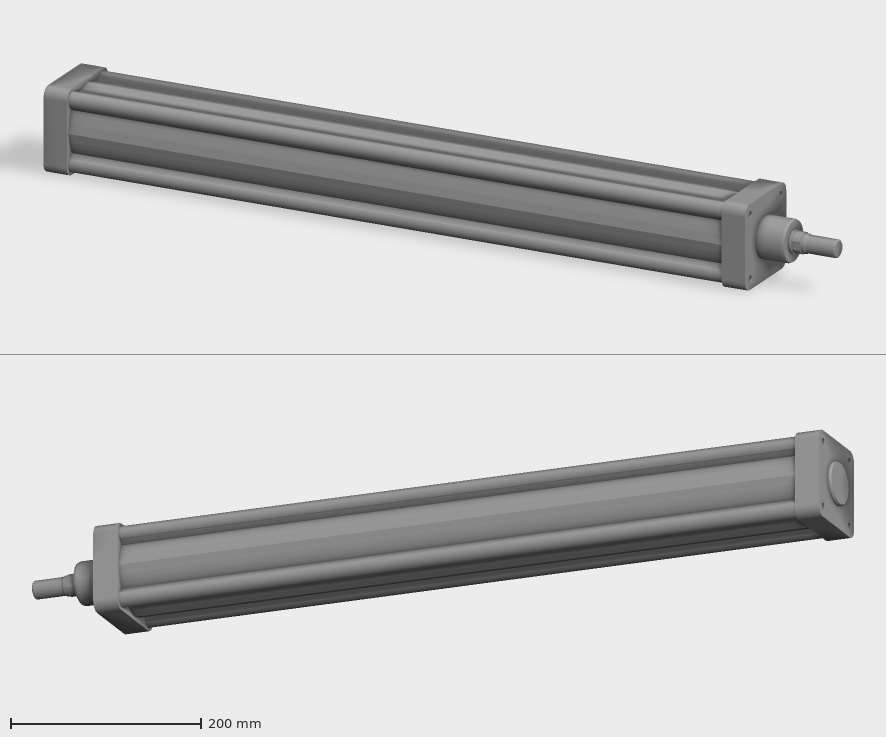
import cadquery as cq
import math

spigot_height = 4.0
cap_length = 27.5
barrel_length = 771.0
collar_height = 33.0
lip_height = 3.0
rod_reach = 46.0
end_length = 40.0

rear_cap_x = spigot_height
barrel_x = rear_cap_x + cap_length
front_cap_x = barrel_x + barrel_length
front_face_x = front_cap_x + cap_length
lip_end_x = front_face_x + collar_height + lip_height
shoulder_x = front_face_x + rod_reach
tip_x = shoulder_x + end_length

cap_width = 96.0
cap_corner_radius = 11.0
boss_diameter = 47.5
boss_chamfer_depth = 2.5
boss_chamfer_inset = 1.0
lip_diameter = 26.0
screw_spacing = 71.5
screw_hole_diameter = 7.5
screw_hole_depth = 16.0

tube_radius = 43.0
ridge_angle = 13.0
lobe_radius = 9.0
lobe_wrap_angle = 42.0
flank_knee = (41.0, 28.8)
foot_angle = 34.0

rod_diameter = 24.0
step_diameter = 22.0
step_length = 6.0
step_chamfer_length = 2.0
thread_diameter = 20.0
thread_chamfer = 1.2
flat_width = 22.0


def polar(radius, angle, center=(0.0, 0.0)):
    """Point at an angle in degrees from +Y towards +Z."""
    turn = math.radians(angle)
    return (center[0] + radius * math.cos(turn), center[1] + radius * math.sin(turn))


def rotate(point, angle):
    """Turn a profile point about the barrel axis."""
    turn = math.radians(angle)
    y, z = point
    return (y * math.cos(turn) - z * math.sin(turn), y * math.sin(turn) + z * math.cos(turn))


def make_barrel():
    lobe_center = (screw_spacing / 2, screw_spacing / 2)
    ridge = (tube_radius / math.cos(math.radians(ridge_angle)), 0.0)
    profile = cq.Workplane("YZ", origin=(barrel_x, 0, 0)).moveTo(*ridge)
    for quarter in (0, 90, 180, 270):
        profile = (
            profile
            .lineTo(*rotate(polar(tube_radius, ridge_angle), quarter))
            .threePointArc(
                rotate(polar(tube_radius, (ridge_angle + foot_angle) / 2), quarter),
                rotate(polar(tube_radius, foot_angle), quarter),
            )
            .lineTo(*rotate(flank_knee, quarter))
            .lineTo(*rotate(polar(lobe_radius, -lobe_wrap_angle, lobe_center), quarter))
            .threePointArc(
                rotate(polar(lobe_radius, 45, lobe_center), quarter),
                rotate(polar(lobe_radius, 90 + lobe_wrap_angle, lobe_center), quarter),
            )
            .lineTo(*rotate(flank_knee[::-1], quarter))
            .lineTo(*rotate(polar(tube_radius, 90 - foot_angle), quarter))
            .threePointArc(
                rotate(polar(tube_radius, 90 - (ridge_angle + foot_angle) / 2), quarter),
                rotate(polar(tube_radius, 90 - ridge_angle), quarter),
            )
        )
        if quarter < 270:
            profile = profile.lineTo(*rotate(ridge, quarter + 90))
    return profile.close().extrude(barrel_length)


def make_cap(boss_height):
    """Cap with its inner face at X = 0 and a round boss on the outer, +X side."""
    block = (
        cq.Workplane("YZ")
        .rect(cap_width, cap_width)
        .extrude(cap_length)
        .edges("|X")
        .fillet(cap_corner_radius)
        .faces(">X")
        .workplane()
        .rect(screw_spacing, screw_spacing, forConstruction=True)
        .vertices()
        .hole(screw_hole_diameter, screw_hole_depth)
    )
    boss = (
        cq.Workplane("YZ")
        .circle(boss_diameter / 2)
        .extrude(cap_length + boss_height)
        .faces(">X")
        .chamfer(boss_chamfer_depth, boss_chamfer_inset)
    )
    return block.union(boss)


def make_rear_cap():
    cap = make_cap(spigot_height)
    return cap.rotate((0, 0, 0), (0, 0, 1), 180).translate((barrel_x, 0, 0))


def make_front_cap():
    lip_end = cap_length + collar_height + lip_height
    lip = cq.Workplane("YZ").circle(lip_diameter / 2).extrude(lip_end)
    rod_bore = cq.Workplane("YZ").circle(rod_diameter / 2).extrude(lip_end)
    cap = make_cap(collar_height).union(lip).cut(rod_bore)
    return cap.translate((front_cap_x, 0, 0))


def make_rod():
    step_end_x = shoulder_x + step_length
    rod = (
        cq.Workplane("XY")
        .moveTo(front_cap_x, 0)
        .lineTo(front_cap_x, rod_diameter / 2)
        .lineTo(shoulder_x, rod_diameter / 2)
        .lineTo(shoulder_x, step_diameter / 2)
        .lineTo(step_end_x - step_chamfer_length, step_diameter / 2)
        .lineTo(step_end_x, thread_diameter / 2)
        .lineTo(tip_x - thread_chamfer, thread_diameter / 2)
        .lineTo(tip_x, thread_diameter / 2 - thread_chamfer)
        .lineTo(tip_x, 0)
        .close()
        .revolve(360, (0, 0, 0), (1, 0, 0))
    )
    flats_length = shoulder_x - lip_end_x
    for side in (-1, 1):
        flat_cut = cq.Workplane("XY").box(
            flats_length, rod_diameter, rod_diameter, centered=(False, True, True)
        )
        rod = rod.cut(flat_cut.translate((lip_end_x, side * (flat_width + rod_diameter) / 2, 0)))
    return rod


barrel = make_barrel()
rear_cap = make_rear_cap()
front_cap = make_front_cap()
rod = make_rod()

result = cq.Compound.makeCompound([barrel.val(), rear_cap.val(), front_cap.val(), rod.val()])